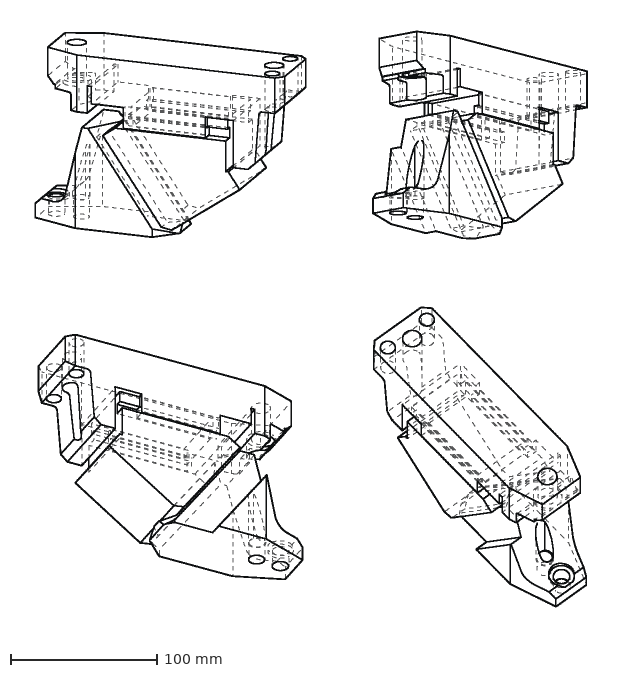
import cadquery as cq
import math

LENGTH = 185.0
WIDTH = 52.0
HALF_WIDTH = WIDTH / 2
HEIGHT = 125.0
TAPER_ANGLE = 20.0
REACH = 370.0

GUIDE_ANGLE = 55.0
GUIDE_FLANK_ANGLE = 30.0
GUIDE_EDGE_X = 43.1
RIDGE_FLAT_HALF = 3.7
RIDGE_HEIGHT = (HALF_WIDTH - RIDGE_FLAT_HALF) * math.tan(math.radians(GUIDE_FLANK_ANGLE))

BASE_LENGTH = 104.9
BASE_HEIGHT = 73.0
BASE_TAPER_END = 34.0
BASE_CORNER = 14.8
FOOT_HEIGHT = 15.0
FOOT_CHAMFER_X = 5.2
FOOT_CHAMFER_Z = 4.6
FACE_BOTTOM_X = 23.5
FACE_TOP_X = 38.7
FOOT_FILLET = 11.1
NOTCH_Y = 16.8
NOTCH_Z = 53.0
FOOT_HOLE_X = 10.4
FOOT_HOLE_DIAMETER = 11.3
FOOT_BORE_DIAMETER = 17.5
FOOT_BORE_FLOOR = 12.4
POCKET_X = 28.5
POCKET_DIAMETER = 12.2
POCKET_BACK_RADIUS = 8.7
POCKET_FLOOR = 14.0
POCKET_HOLE_DIAMETER = 11.0

SLIDER_TOP = 75.5
SLIDER_NOSE = (54.0, 69.2)
SLIDER_FACE_LENGTH = 80.1
SLIDER_CHAMFER = 5.5
SLIDER_DEPTH = 66.2
SLIDER_BACK_LENGTH = 14.6
SLIDER_END_X = 144.0

RAIL_START_X = 73.0
RAIL_TOP = 91.0
RAIL_HEAD_BOTTOM = 82.9
RAIL_HEAD_HALF = 22.2
RAIL_NECK_HALF = 18.1
RAIL_SIDE_GAP = 0.5
LIP_GAP = 0.4

HOLDER_START_X = 10.4
HOLDER_TAPER_END = 35.2
HOLDER_CORNER = 5.2
END_CHAMFER_BOTTOM = 99.5
NOSE_STEP_X = 16.6
NOSE_STEP_Z = 96.8
NOSE_FILLET = 1.7
STOP_START_X = 30.0
STOP_END_X = 42.7
STOP_BOTTOM = 84.0
GROOVE_END_X = 45.5
GROOVE_TOP = 103.6
LIP_START_X = 69.0
LIP_END_X = 129.1
LIP_BOTTOM = 76.0
LEG_START_X = 149.3
LEG_BOTTOM = 57.0
LEG_CHAMFER_START_X = 160.2
LEG_CHAMFER_END = (165.4, 61.8)
LEG_TOP_X = 168.4
LEG_FILLET = 2.8
NOSE_HOLE_X = 25.3
TAIL_HOLE_X = 169.6
MAIN_HOLE_DIAMETER = 13.1
NOSE_BORE_DIAMETER = 19.6
PIN_HOLE_X = 174.8
PIN_HOLE_Y = 17.4
PIN_HOLE_DIAMETER = 10.2


def side_prism(points, half_width=HALF_WIDTH):
    """Extrude an X-Z outline symmetrically about the middle plane."""
    return cq.Workplane("XZ").polyline(points).close().extrude(half_width, both=True)


def tapered_plan(start_x, taper_end_x, end_x, corner):
    """Full-height block with a tapered nose and two 45 degree tail corners."""
    nose_half = HALF_WIDTH - (taper_end_x - start_x) * math.tan(math.radians(TAPER_ANGLE))
    front_half = [
        (start_x, -nose_half),
        (taper_end_x, -HALF_WIDTH),
        (end_x - corner, -HALF_WIDTH),
        (end_x, -HALF_WIDTH + corner),
    ]
    back_half = [(x, -y) for x, y in reversed(front_half)]
    return cq.Workplane("XY").polyline(front_half + back_half).close().extrude(HEIGHT)


def vertical_bore(x, y, diameter, bottom, top):
    """Cylinder along Z between two heights."""
    return cq.Workplane("XY", origin=(x, y, bottom)).circle(diameter / 2).extrude(top - bottom)


def along_guide(start, along, outward):
    """X-Z point reached by moving down the guide slope and out from it."""
    angle = math.radians(GUIDE_ANGLE)
    return (
        start[0] + along * math.cos(angle) + outward * math.sin(angle),
        start[1] - along * math.sin(angle) + outward * math.cos(angle),
    )


def guide_ridge():
    """Long sloping prism filling everything under the roof-shaped guide."""
    angle = math.radians(GUIDE_ANGLE)
    down_slope = (math.cos(angle), 0, -math.sin(angle))
    upper_end = along_guide((GUIDE_EDGE_X, BASE_HEIGHT), -REACH / 2, 0)
    section = cq.Plane(
        origin=(upper_end[0], 0, upper_end[1]), xDir=(0, 1, 0), normal=down_slope
    )
    return (
        cq.Workplane(section)
        .polyline([
            (-HALF_WIDTH, -REACH),
            (-HALF_WIDTH, 0),
            (-RIDGE_FLAT_HALF, RIDGE_HEIGHT),
            (RIDGE_FLAT_HALF, RIDGE_HEIGHT),
            (HALF_WIDTH, 0),
            (HALF_WIDTH, -REACH),
        ])
        .close()
        .extrude(REACH)
    )


def side_notch():
    """Cutter for the +Y side of the base, its floor parallel to the guide slope."""
    face_fraction = (NOTCH_Z - FOOT_HEIGHT) / (BASE_HEIGHT - FOOT_HEIGHT)
    face_point = (FACE_BOTTOM_X + face_fraction * (FACE_TOP_X - FACE_BOTTOM_X), NOTCH_Z)
    return (
        cq.Workplane("XZ", origin=(0, NOTCH_Y, 0))
        .polyline([
            along_guide(face_point, -REACH, 0),
            along_guide(face_point, REACH, 0),
            along_guide(face_point, REACH, REACH),
            along_guide(face_point, -REACH, REACH),
        ])
        .close()
        .extrude(-HALF_WIDTH)
    )


def base_pocket():
    """Round pocket in the slanted face, its back wall flattened by a larger arc."""
    pocket = vertical_bore(POCKET_X, 0, POCKET_DIAMETER, POCKET_FLOOR, BASE_HEIGHT)
    back_wall = vertical_bore(NOSE_HOLE_X, 0, 2 * POCKET_BACK_RADIUS, POCKET_FLOOR, BASE_HEIGHT)
    return pocket.intersect(back_wall)


def make_base():
    """Foot with a slanted front and a roof-shaped sloping guide."""
    body = side_prism([
        (0, 0),
        (0, FOOT_HEIGHT - FOOT_CHAMFER_Z),
        (FOOT_CHAMFER_X, FOOT_HEIGHT),
        (FACE_BOTTOM_X, FOOT_HEIGHT),
        (FACE_TOP_X, BASE_HEIGHT),
        (BASE_LENGTH, BASE_HEIGHT),
        (BASE_LENGTH, 0),
    ])
    foot_corner = cq.selectors.NearestToPointSelector((FACE_BOTTOM_X, 0, FOOT_HEIGHT))
    body = body.edges(foot_corner).fillet(FOOT_FILLET)
    body = body.intersect(tapered_plan(0, BASE_TAPER_END, BASE_LENGTH, BASE_CORNER))
    body = body.intersect(guide_ridge())

    body = body.cut(side_notch())
    body = body.cut(vertical_bore(FOOT_HOLE_X, 0, FOOT_HOLE_DIAMETER, 0, FOOT_BORE_FLOOR))
    body = body.cut(vertical_bore(FOOT_HOLE_X, 0, FOOT_BORE_DIAMETER, FOOT_BORE_FLOOR, BASE_HEIGHT))
    body = body.cut(vertical_bore(POCKET_X, 0, POCKET_HOLE_DIAMETER, 0, POCKET_FLOOR))
    return body.cut(base_pocket())


def rail_block(half_width, bottom):
    """One rectangular step of the T-rail, up to the rail top."""
    return side_prism([
        (RAIL_START_X, bottom),
        (RAIL_START_X, RAIL_TOP),
        (SLIDER_END_X, RAIL_TOP),
        (SLIDER_END_X, bottom),
    ], half_width)


def make_slider():
    """Wedge riding on the base ridge, with a T-rail on top."""
    nose_rise = SLIDER_TOP - SLIDER_NOSE[1]
    nose_top_x = SLIDER_NOSE[0] + nose_rise * math.tan(math.radians(GUIDE_ANGLE))
    back_top = along_guide(
        SLIDER_NOSE, SLIDER_FACE_LENGTH - SLIDER_BACK_LENGTH, SLIDER_DEPTH
    )
    body = side_prism([
        SLIDER_NOSE,
        (nose_top_x, SLIDER_TOP),
        (SLIDER_END_X, SLIDER_TOP),
        (SLIDER_END_X, back_top[1]),
        back_top,
        along_guide(SLIDER_NOSE, SLIDER_FACE_LENGTH, SLIDER_DEPTH),
        along_guide(SLIDER_NOSE, SLIDER_FACE_LENGTH, SLIDER_CHAMFER),
        along_guide(SLIDER_NOSE, SLIDER_FACE_LENGTH - SLIDER_CHAMFER, 0),
    ])
    body = body.cut(guide_ridge())
    body = body.union(rail_block(RAIL_NECK_HALF, SLIDER_TOP))
    return body.union(rail_block(RAIL_HEAD_HALF, RAIL_HEAD_BOTTOM))


def rail_slot():
    """T-shaped slot through the holder lips, wider than the rail."""
    neck_half = RAIL_NECK_HALF + RAIL_SIDE_GAP
    head_half = RAIL_HEAD_HALF + RAIL_SIDE_GAP
    lip_top = RAIL_HEAD_BOTTOM - LIP_GAP
    right_half = [
        (neck_half, LIP_BOTTOM),
        (neck_half, lip_top),
        (head_half, lip_top),
        (head_half, RAIL_TOP),
    ]
    left_half = [(-y, z) for y, z in reversed(right_half)]
    return (
        cq.Workplane("YZ", origin=(LIP_START_X, 0, 0))
        .polyline(right_half + left_half)
        .close()
        .extrude(LIP_END_X - LIP_START_X)
    )


def make_holder():
    """Top plate with a front stop, two rail lips and a rear leg."""
    chamfer_top = END_CHAMFER_BOTTOM + HOLDER_CORNER
    body = side_prism([
        (HOLDER_START_X, HEIGHT),
        (HOLDER_START_X, chamfer_top),
        (HOLDER_START_X + HOLDER_CORNER, END_CHAMFER_BOTTOM),
        (NOSE_STEP_X, END_CHAMFER_BOTTOM),
        (NOSE_STEP_X, NOSE_STEP_Z),
        (STOP_START_X, NOSE_STEP_Z),
        (STOP_START_X, STOP_BOTTOM),
        (STOP_END_X, STOP_BOTTOM),
        (STOP_END_X, GROOVE_TOP),
        (GROOVE_END_X, GROOVE_TOP),
        (GROOVE_END_X, RAIL_TOP),
        (LIP_START_X, RAIL_TOP),
        (LIP_START_X, LIP_BOTTOM),
        (LIP_END_X, LIP_BOTTOM),
        (LIP_END_X, RAIL_TOP),
        (LEG_START_X, RAIL_TOP),
        (LEG_START_X, LEG_BOTTOM),
        (LEG_CHAMFER_START_X, LEG_BOTTOM),
        LEG_CHAMFER_END,
        (LEG_TOP_X, END_CHAMFER_BOTTOM),
        (LENGTH - HOLDER_CORNER, END_CHAMFER_BOTTOM),
        (LENGTH, chamfer_top),
        (LENGTH, HEIGHT),
    ])
    stop_corner = cq.selectors.NearestToPointSelector((STOP_START_X, 0, NOSE_STEP_Z))
    body = body.edges(stop_corner).fillet(NOSE_FILLET)
    leg_corner = cq.selectors.NearestToPointSelector((LEG_TOP_X, 0, END_CHAMFER_BOTTOM))
    body = body.edges(leg_corner).fillet(LEG_FILLET)
    body = body.intersect(tapered_plan(HOLDER_START_X, HOLDER_TAPER_END, LENGTH, HOLDER_CORNER))
    body = body.cut(rail_slot())

    for x in (NOSE_HOLE_X, TAIL_HOLE_X):
        body = body.cut(vertical_bore(x, 0, MAIN_HOLE_DIAMETER, 0, HEIGHT))
    for y in (-PIN_HOLE_Y, PIN_HOLE_Y):
        body = body.cut(vertical_bore(PIN_HOLE_X, y, PIN_HOLE_DIAMETER, 0, HEIGHT))
    return body.cut(vertical_bore(NOSE_HOLE_X, 0, NOSE_BORE_DIAMETER, STOP_BOTTOM, END_CHAMFER_BOTTOM))


base = make_base()
slider = make_slider()
holder = make_holder()

result = cq.Compound.makeCompound([body.solids().val() for body in (base, slider, holder)])